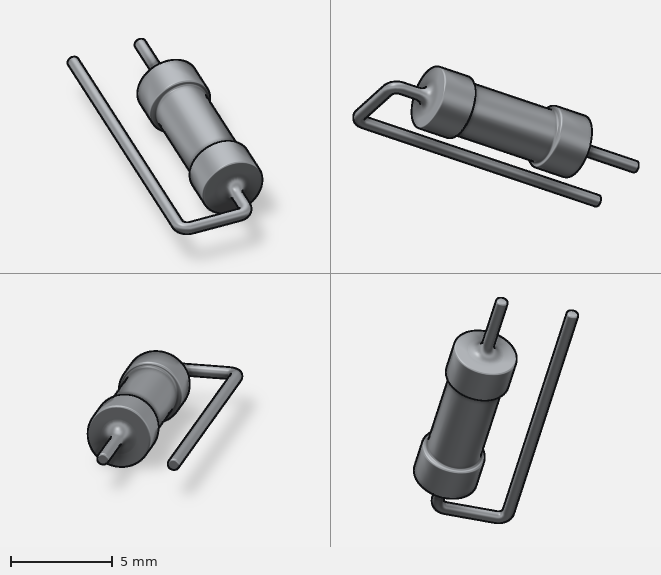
import cadquery as cq

total_length = 14.3

wire_diameter = 0.6
wire_radius = wire_diameter / 2
lead_pitch = 3.56
bend_radius = 0.5
wire_tip_rounding = 0.1

body_start = 3.49
body_length = 8.52
body_end = body_start + body_length
collar_diameter = 3.2
collar_radius = collar_diameter / 2
collar_width = 1.83
waist_diameter = 2.7
waist_radius = waist_diameter / 2
outer_rim_rounding = 0.1
inner_rim_rounding = 0.11
waist_fillet = 0.13
flare_radius = 0.6


def body_blank():
    """Cylinder with a collar at each end, rounded at every step."""
    waist_start = body_start + collar_width
    waist_end = body_end - collar_width
    corners = [
        (body_start, 0),
        (body_start, collar_radius),
        (waist_start, collar_radius),
        (waist_start, waist_radius),
        (waist_end, waist_radius),
        (waist_end, collar_radius),
        (body_end, collar_radius),
        (body_end, 0),
    ]
    blank = cq.Workplane("XY").polyline(corners).close().revolve(360, (0, 0, 0), (1, 0, 0))

    def circle_edges(x, radius):
        margin = 0.01
        reach = radius + margin
        return blank.edges(cq.selectors.BoxSelector(
            (x - margin, -reach, -reach), (x + margin, reach, reach), boundingbox=True))

    for x in (body_start, body_end):
        blank = circle_edges(x, collar_radius).fillet(outer_rim_rounding)
    for x in (waist_start, waist_end):
        blank = circle_edges(x, waist_radius).fillet(waist_fillet)
        blank = circle_edges(x, collar_radius).edges(
            cq.selectors.RadiusNthSelector(-1)).fillet(inner_rim_rounding)
    return blank


def flare(face_x, outward):
    """Concave trumpet where the wire leaves a body end; outward is -1 or +1 along X."""
    tip_x = face_x + outward * flare_radius
    mouth_radius = wire_radius + flare_radius
    arc_inset = flare_radius * (1 - 0.5 ** 0.5)
    return (
        cq.Workplane("XY")
        .moveTo(face_x, 0)
        .lineTo(face_x, mouth_radius)
        .threePointArc((face_x + outward * arc_inset, wire_radius + arc_inset), (tip_x, wire_radius))
        .lineTo(tip_x, 0)
        .close()
        .revolve(360, (0, 0, 0), (1, 0, 0))
    )


def wire():
    """Hairpin: through the body, two right-angle bends, then back to the starting plane."""
    far_x = total_length - wire_radius
    bend_x = far_x - bend_radius
    arc_inset = bend_radius * (1 - 0.5 ** 0.5)
    path = (
        cq.Workplane("XY")
        .moveTo(0, 0)
        .lineTo(bend_x, 0)
        .threePointArc((far_x - arc_inset, -arc_inset), (far_x, -bend_radius))
        .lineTo(far_x, bend_radius - lead_pitch)
        .threePointArc((far_x - arc_inset, arc_inset - lead_pitch), (bend_x, -lead_pitch))
        .lineTo(0, -lead_pitch)
    )
    rod = cq.Workplane("YZ").circle(wire_radius).sweep(path)
    return rod.faces("<X").edges().fillet(wire_tip_rounding)


result = (
    body_blank()
    .union(flare(body_start, -1))
    .union(flare(body_end, 1))
    .union(wire())
)